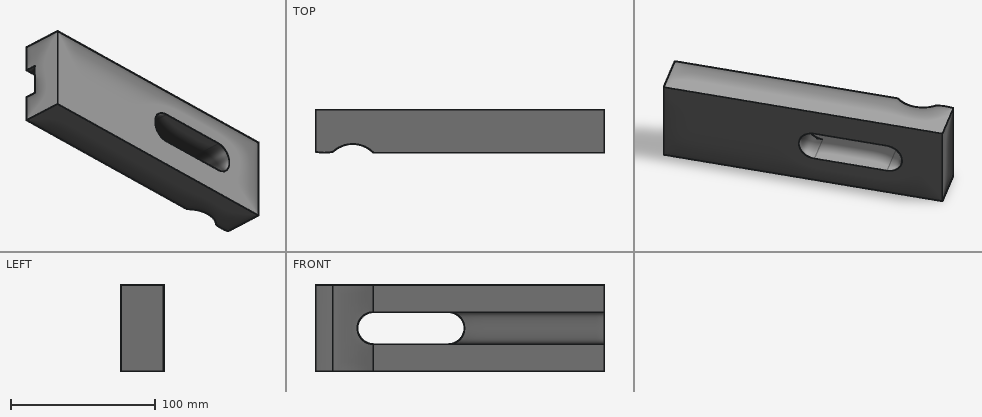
import cadquery as cq
import math

length = 200.0
thickness = 30.0
width = 60.0

nose_length = 12.0
nose_radius = 30.0
nose_drop = nose_radius - math.sqrt(nose_radius**2 - (nose_length / 2) ** 2)

relief_end = 40.0
relief_radius = 20.0

slot_width = 22.0
slot_start = relief_end
slot_travel = 52.0

groove_depth = 8.0


def arc_midpoint(start, end, radius):
    """Midpoint of the minor arc that bulges to the left of the line from start to end."""
    dx = end[0] - start[0]
    dy = end[1] - start[1]
    chord = math.hypot(dx, dy)
    bulge = radius - math.sqrt(radius**2 - (chord / 2) ** 2)
    middle_x = (start[0] + end[0]) / 2
    middle_y = (start[1] + end[1]) / 2
    return (middle_x - bulge * dy / chord, middle_y + bulge * dx / chord)


def make_bar():
    """Bar with the nose and relief along its front face."""
    nose_start = (0, nose_drop)
    nose_end = (nose_length, nose_drop)
    flat_start = (relief_end, 0)
    return (
        cq.Workplane("XY")
        .moveTo(*nose_start)
        .threePointArc((nose_length / 2, 0), nose_end)
        .threePointArc(arc_midpoint(nose_end, flat_start, relief_radius), flat_start)
        .lineTo(length, 0)
        .lineTo(length, thickness)
        .lineTo(0, thickness)
        .close()
        .extrude(width / 2, both=True)
    )


def make_slot():
    """Round-ended cutter through the full thickness."""
    return (
        cq.Workplane("XZ")
        .center(slot_start + slot_travel / 2, 0)
        .slot2D(slot_travel + slot_width, slot_width)
        .extrude(-thickness)
    )


def make_groove():
    """Square-bottomed cutter in the front face, from the slot to the right end."""
    return cq.Workplane("XY").box(
        length - slot_start, groove_depth, slot_width, centered=(False, False, True)
    ).translate((slot_start, 0, 0))


result = make_bar().cut(make_slot()).cut(make_groove())